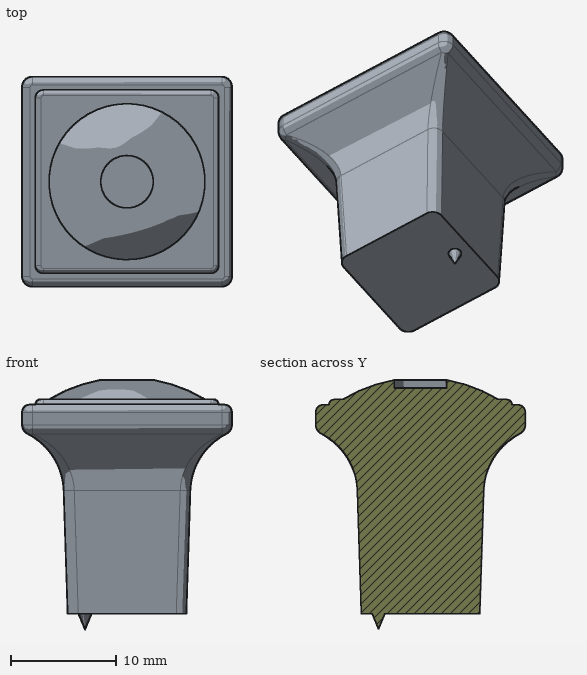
import cadquery as cq
import math

body_bottom = 1.5
neck_bottom = 13.27
plate_top = 21.43
panel_top = 21.93
dome_top = 23.78

stem_bottom_half = 5.65
stem_top_half = 6.05
plate_half = 10.0
flare_radius = 6.23
edge_radius = 1.0
plate_top_fillet = 0.75

panel_half = 8.73
panel_corner_radius = 0.75
panel_fillet = panel_top - plate_top
panel_embed = 0.48

dome_radius = 7.42
recess_radius = 2.5
recess_depth = 0.75

margin = 0.24

pin_offset = 4.0
pin_radius = 0.62

draft = math.atan2(stem_top_half - stem_bottom_half, neck_bottom - body_bottom)
flare_center_x = stem_top_half + flare_radius * math.cos(draft)
flare_center_z = neck_bottom - flare_radius * math.sin(draft)
flare_start_angle = math.pi - draft
flare_end_angle = math.acos((plate_half - flare_center_x) / flare_radius)


def flare_point(angle):
    """Point (half-width, height) on the flare arc."""
    return (
        flare_center_x + flare_radius * math.cos(angle),
        flare_center_z + flare_radius * math.sin(angle),
    )


flare_middle = flare_point((flare_start_angle + flare_end_angle) / 2)
flare_end = flare_point(flare_end_angle)


def body_prism(plane):
    """Body silhouette extruded equally to both sides of the plane."""
    half_profile = (
        cq.Workplane(plane)
        .moveTo(0, body_bottom)
        .lineTo(stem_bottom_half, body_bottom)
        .lineTo(stem_top_half, neck_bottom)
        .threePointArc(flare_middle, flare_end)
        .lineTo(plate_half, plate_top)
        .lineTo(0, plate_top)
    )
    return half_profile.mirrorY().extrude(plate_half + margin, both=True)


def quadrant_zone(low, high):
    """Edges centred between two heights, clear of the two symmetry planes."""
    reach = plate_half + margin
    return cq.selectors.BoxSelector((margin, margin, low), (reach, reach, high))


def make_body():
    """Rounded body, built as one quadrant and mirrored."""
    blank = body_prism("XZ").intersect(body_prism("YZ"))
    quadrant = blank.intersect(
        cq.Workplane("XY").box(plate_half + margin, plate_half + margin, dome_top, centered=False)
    )
    outer_edges = quadrant.edges(quadrant_zone(body_bottom + margin, plate_top - margin))
    quadrant = outer_edges.fillet(edge_radius)
    top_edges = quadrant.edges(quadrant_zone(plate_top - margin, plate_top + margin))
    quadrant = top_edges.fillet(plate_top_fillet)
    half_body = quadrant.union(quadrant.mirror("YZ"))
    return half_body.union(half_body.mirror("XZ")).clean()


def make_panel():
    """Raised panel, sunk slightly into the plate."""
    return (
        cq.Workplane("XY", origin=(0, 0, plate_top - panel_embed))
        .rect(2 * panel_half, 2 * panel_half)
        .extrude(panel_fillet + panel_embed)
        .edges("|Z")
        .fillet(panel_corner_radius)
        .faces(">Z")
        .edges()
        .fillet(panel_fillet)
    )


def make_dome():
    """Spherical dome with its crown cut flat at the recess rim."""
    dome_height = dome_top - panel_top
    center_depth = (dome_radius**2 - recess_radius**2 - dome_height**2) / (2 * dome_height)
    sphere_radius = math.hypot(dome_radius, center_depth)
    middle_radius = (dome_radius + recess_radius) / 2
    middle_height = panel_top - center_depth + math.sqrt(sphere_radius**2 - middle_radius**2)
    floor = dome_top - recess_depth
    return (
        cq.Workplane("XZ")
        .moveTo(0, plate_top)
        .lineTo(dome_radius, plate_top)
        .lineTo(dome_radius, panel_top)
        .threePointArc((middle_radius, middle_height), (recess_radius, dome_top))
        .lineTo(recess_radius, floor)
        .lineTo(0, floor)
        .close()
        .revolve(360, (0, 0), (0, 1))
    )


def make_pin():
    """Cone pointing down, with its tip at height zero."""
    cone = cq.Solid.makeCone(0, pin_radius, body_bottom)
    return cq.Workplane(cone).translate((-pin_offset, 0, 0))


result = make_body().union(make_panel()).union(make_dome()).union(make_pin())